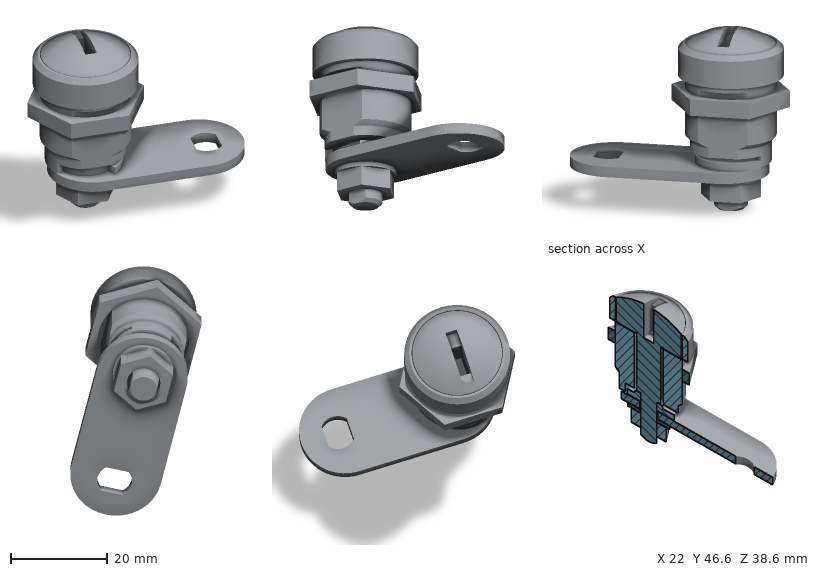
import cadquery as cq
import math


overall_length = 46.6

head_radius = 11.0
head_height = 6.9
head_chamfer = 1.02
thread_radius = 9.5
skirt_radius = 8.5
flat_half_width = 7.9
flat_top_z = -1.4
skirt_top_z = -13.85
housing_bottom_z = -15.95
tab_inner_radius = 6.9
tab_start_angle = -120
tab_sweep = 60
tab_bottom_z = -18.35
recess_radius = 9.45
bore_radius = 4.7

core_head_radius = 9.3
dome_rise = 3.0
journal_radius = 4.35
journal_bottom_z = -16.35
stud_radius = 3.5
stud_flat_width = 5.5
stud_chamfer = 0.75

slot_width = 2.45
slot_left_x = -7.55
slot_right_x = 4.1
slot_depth = 2.45
keyway_left_x = -5.3
keyway_right_x = 1.1

panel_nut_width = 21.8
panel_nut_top_z = -2.75
panel_nut_height = 3.5

ring_radius = 8.35
ring_offset = 0.7
ring_sector_radius = 6.5
ring_boss_radius = 4.75
ring_boss_height = 0.7
ring_height = 1.72
key_turn = 90
ring_sector_sweep = tab_sweep + key_turn

cam_height = 2.25
cam_radius = 9.5
cam_near_y = 1.55
cam_hole_radius = 3.65
cam_far_hole_y = 26.05

washer_radius = 6.4
washer_height = 1.0
stud_nut_width = 11.05
stud_nut_height = 4.05
stud_length_below_nut = 2.65

panel_nut_corner_radius = panel_nut_width / 2 / math.cos(math.radians(30))
cam_far_y = overall_length - panel_nut_corner_radius - cam_radius

ring_top_z = journal_bottom_z - ring_boss_height
cam_top_z = ring_top_z - ring_height
washer_top_z = cam_top_z - cam_height
stud_nut_top_z = washer_top_z - washer_height
stud_bottom_z = stud_nut_top_z - stud_nut_height - stud_length_below_nut


def cylinder(radius, bottom_z, top_z, x=0, y=0):
    return cq.Workplane("XY", origin=(x, y, bottom_z)).circle(radius).extrude(top_z - bottom_z)


def block(x_min, x_max, y_min, y_max, bottom_z, top_z):
    size = (x_max - x_min, y_max - y_min, top_z - bottom_z)
    return cq.Workplane("XY", origin=(x_min, y_min, bottom_z)).box(*size, centered=False)


def hex_prism(width_across_flats, bottom_z, top_z):
    """Hexagonal prism with two corners on the Y axis."""
    corner_diameter = width_across_flats / math.cos(math.radians(30))
    prism = cq.Workplane("XY").polygon(6, corner_diameter).extrude(top_z - bottom_z)
    return prism.rotate((0, 0, 0), (0, 0, 1), 90).translate((0, 0, bottom_z))


def double_d(radius, width, bottom_z, top_z):
    """Round bar on the lock axis with two flats facing -X and +X."""
    half_width = width / 2
    flats = block(-half_width, half_width, -radius, radius, bottom_z, top_z)
    return cylinder(radius, bottom_z, top_z).intersect(flats)


def sector(inner_radius, outer_radius, start_angle, sweep, bottom_z, top_z):
    """Part of a tube about the lock axis, starting at start_angle from +X."""

    def polar(radius, turn):
        angle = math.radians(start_angle + turn)
        return (radius * math.cos(angle), radius * math.sin(angle))

    return (
        cq.Workplane("XY", origin=(0, 0, bottom_z))
        .moveTo(*polar(inner_radius, 0))
        .lineTo(*polar(outer_radius, 0))
        .threePointArc(polar(outer_radius, sweep / 2), polar(outer_radius, sweep))
        .lineTo(*polar(inner_radius, sweep))
        .threePointArc(polar(inner_radius, sweep / 2), polar(inner_radius, 0))
        .close()
        .extrude(top_z - bottom_z)
    )


def cut_flats(body):
    """Cut the two flats facing -X and +X that stop the housing turning in its panel."""
    reach = 2 * head_radius
    beyond_flat = block(flat_half_width, reach, -reach, reach, tab_bottom_z, flat_top_z)
    for turn in (0, 180):
        body = body.cut(beyond_flat.rotate((0, 0, 0), (0, 0, 1), turn))
    return body


def cut_around_stop_tab(body):
    """Clear the space below the skirt except for the stop tab on the -Y side."""
    waste = cylinder(head_radius, tab_bottom_z, housing_bottom_z)
    tab = sector(
        tab_inner_radius, 2 * head_radius, tab_start_angle, tab_sweep, tab_bottom_z, housing_bottom_z
    )
    return body.cut(waste.cut(tab))


def make_housing():
    cone_height = thread_radius - skirt_radius
    profile = [
        (0, tab_bottom_z),
        (skirt_radius, tab_bottom_z),
        (skirt_radius, skirt_top_z),
        (thread_radius, skirt_top_z + cone_height),
        (thread_radius, 0),
        (head_radius, 0),
        (head_radius, head_height - head_chamfer),
        (head_radius - head_chamfer, head_height),
        (0, head_height),
    ]
    housing = cq.Workplane("XZ").polyline(profile).close().revolve(360, (0, 0, 0), (0, 1, 0))
    housing = cut_flats(housing)
    housing = cut_around_stop_tab(housing)
    housing = housing.cut(cylinder(recess_radius, 0, head_height))
    return housing.cut(cylinder(bore_radius, housing_bottom_z, 0))


def make_core():
    dome_top_z = head_height + dome_rise
    dome_radius = (core_head_radius**2 + dome_rise**2) / (2 * dome_rise)
    half_angle = math.asin(core_head_radius / dome_radius) / 2
    dome_mid_point = (
        dome_radius * math.sin(half_angle),
        dome_top_z - dome_radius * (1 - math.cos(half_angle)),
    )
    core = (
        cq.Workplane("XZ")
        .moveTo(0, journal_bottom_z)
        .lineTo(journal_radius, journal_bottom_z)
        .lineTo(journal_radius, 0)
        .lineTo(core_head_radius, 0)
        .lineTo(core_head_radius, head_height)
        .threePointArc(dome_mid_point, (0, dome_top_z))
        .close()
        .revolve(360, (0, 0, 0), (0, 1, 0))
    )
    half_slot = slot_width / 2
    slot_floor_z = dome_top_z - slot_depth
    slot = block(slot_left_x, slot_right_x, -half_slot, half_slot, slot_floor_z, dome_top_z)
    keyway = block(keyway_left_x, keyway_right_x, -half_slot, half_slot, 0, dome_top_z)
    stud_round = cylinder(stud_radius, stud_bottom_z, journal_bottom_z).faces("<Z").chamfer(stud_chamfer)
    stud = stud_round.intersect(
        double_d(stud_radius, stud_flat_width, stud_bottom_z, journal_bottom_z)
    )
    return core.cut(slot).cut(keyway).union(stud)


def make_panel_nut():
    bottom_z = panel_nut_top_z - panel_nut_height
    nut = hex_prism(panel_nut_width, bottom_z, panel_nut_top_z)
    return nut.cut(cylinder(thread_radius, bottom_z, panel_nut_top_z))


def make_stop_ring():
    bottom_z = cam_top_z
    ring = cylinder(ring_radius, bottom_z, ring_top_z, ring_offset, -ring_offset)
    beyond_ring = ring_radius + 2 * ring_offset
    ring = ring.cut(
        sector(
            ring_sector_radius, beyond_ring, tab_start_angle, ring_sector_sweep, bottom_z, ring_top_z
        )
    )
    ring = ring.union(cylinder(ring_boss_radius, ring_top_z, journal_bottom_z))
    return ring.cut(double_d(stud_radius, stud_flat_width, bottom_z, journal_bottom_z))


def make_cam():
    bottom_z = washer_top_z
    cam = block(-cam_radius, cam_radius, cam_near_y, cam_far_y, bottom_z, cam_top_z)
    for end_y in (cam_near_y, cam_far_y):
        cam = cam.union(cylinder(cam_radius, bottom_z, cam_top_z, y=end_y))
    hole = double_d(cam_hole_radius, stud_flat_width, bottom_z, cam_top_z)
    far_hole = hole.rotate((0, 0, 0), (0, 0, 1), 90).translate((0, cam_far_hole_y, 0))
    return cam.cut(hole).cut(far_hole)


def make_washer():
    washer = cylinder(washer_radius, stud_nut_top_z, washer_top_z)
    return washer.cut(cylinder(stud_radius, stud_nut_top_z, washer_top_z))


def make_stud_nut():
    bottom_z = stud_nut_top_z - stud_nut_height
    nut = hex_prism(stud_nut_width, bottom_z, stud_nut_top_z)
    return nut.cut(cylinder(stud_radius, bottom_z, stud_nut_top_z))


housing = make_housing()
core = make_core()
panel_nut = make_panel_nut()
stop_ring = make_stop_ring()
cam = make_cam()
washer = make_washer()
stud_nut = make_stud_nut()

result = cq.Compound.makeCompound([
    housing.val(),
    core.val(),
    panel_nut.val(),
    stop_ring.val(),
    cam.val(),
    washer.val(),
    stud_nut.val(),
])